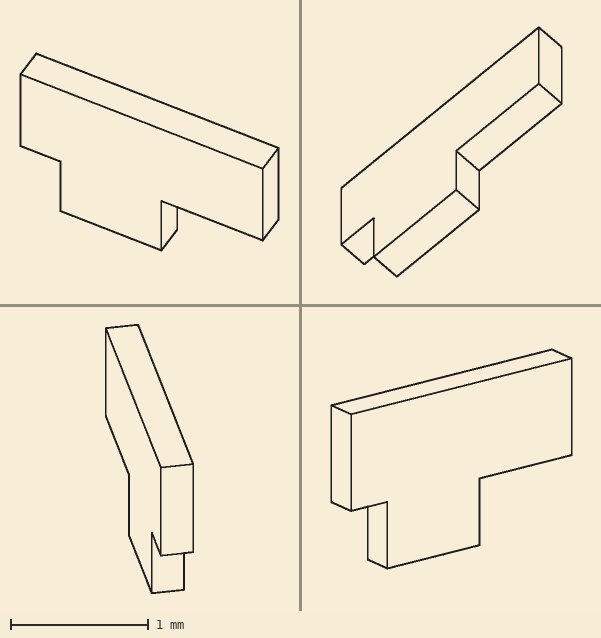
import cadquery as cq

bar_length = 2.0
thickness = 0.24
total_height = 1.26
bar_height = 0.745
stem_offset = 0.33
stem_width = 0.835

stem_height = total_height - bar_height

bar = cq.Workplane("XY").box(bar_length, thickness, bar_height, centered=False)
bar = bar.translate((0, 0, stem_height))

stem = cq.Workplane("XY").box(stem_width, thickness, stem_height, centered=False)
stem = stem.translate((stem_offset, 0, 0))

result = bar.union(stem)